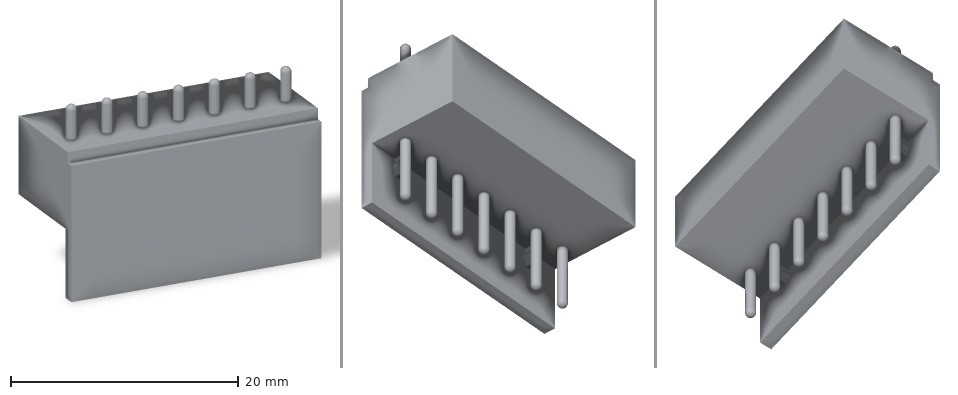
import cadquery as cq
import math

length = 24.5
depth = 10.6
block_bottom = 6.52
block_top = 13.9
plate_thickness = 1.22
plate_inner_x = depth - plate_thickness
step_width = 0.75
step_height = 1.03

pin_count = 7
pin_pitch = 3.5
pin_radius = 0.5
pin_x = 7.0
pin_bottom = 0.15
pin_top = 17.15

key_thickness = 0.74
key_offset = 2.5 * pin_pitch
key_height = 1.94
key_half_width = 0.5
bulge_half_width = 0.7
bulge_shoulder_half_width = 0.64
bulge_center_drop = key_height / 2
bulge_half_height = 0.51
bulge_shoulder_half_height = 0.22
key_corner_radius = 0.15


def make_housing():
    """L-shaped profile with a step along its top rear edge, extruded along Y."""
    profile = [
        (0, block_bottom),
        (plate_inner_x, block_bottom),
        (plate_inner_x, 0),
        (depth, 0),
        (depth, block_top - step_height),
        (depth - step_width, block_top - step_height),
        (depth - step_width, block_top),
        (0, block_top),
    ]
    return cq.Workplane("XZ").polyline(profile).close().extrude(length / 2, both=True)


def make_pin(y):
    """Vertical round pin with a hemispherical tip at each end, revolved about its axis."""
    lower_tip_base = pin_bottom + pin_radius
    upper_tip_base = pin_top - pin_radius
    tip_arc = pin_radius * math.cos(math.pi / 4)
    return (
        cq.Workplane("XZ", origin=(pin_x, y, 0))
        .moveTo(0, pin_bottom)
        .threePointArc((tip_arc, lower_tip_base - tip_arc), (pin_radius, lower_tip_base))
        .lineTo(pin_radius, upper_tip_base)
        .threePointArc((tip_arc, upper_tip_base + tip_arc), (0, pin_top))
        .close()
        .revolve(360, (0, 0, 0), (0, 1, 0))
    )


def make_key(y):
    """Small tab below the block with a rounded bulge on both sides."""
    bulge_z = block_bottom - bulge_center_drop
    key_bottom = block_bottom - key_height
    shoulder_top = bulge_z + bulge_shoulder_half_height
    shoulder_bottom = bulge_z - bulge_shoulder_half_height
    return (
        cq.Workplane("YZ", origin=(plate_inner_x - key_thickness, y, 0))
        .moveTo(-key_half_width, block_bottom)
        .lineTo(-key_half_width, bulge_z + bulge_half_height)
        .lineTo(-bulge_shoulder_half_width, shoulder_top)
        .threePointArc((-bulge_half_width, bulge_z), (-bulge_shoulder_half_width, shoulder_bottom))
        .lineTo(-key_half_width, bulge_z - bulge_half_height)
        .lineTo(-key_half_width, key_bottom)
        .lineTo(key_half_width, key_bottom)
        .lineTo(key_half_width, bulge_z - bulge_half_height)
        .lineTo(bulge_shoulder_half_width, shoulder_bottom)
        .threePointArc((bulge_half_width, bulge_z), (bulge_shoulder_half_width, shoulder_top))
        .lineTo(key_half_width, bulge_z + bulge_half_height)
        .lineTo(key_half_width, block_bottom)
        .close()
        .extrude(key_thickness)
        .edges("|X and <Z")
        .fillet(key_corner_radius)
    )


result = make_housing()
for index in range(pin_count):
    pin_y = (index - (pin_count - 1) / 2) * pin_pitch
    result = result.union(make_pin(pin_y))
for key_y in (-key_offset, key_offset):
    result = result.union(make_key(key_y))